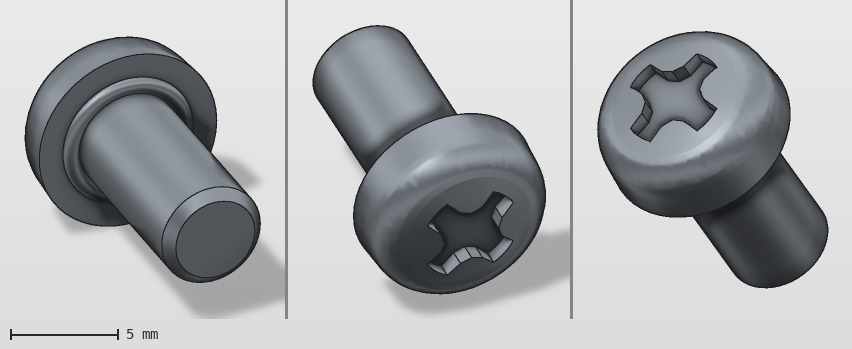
import cadquery as cq
import math


shank_length = 10.0
shank_radius = 2.5
tip_chamfer = 0.5

head_height = 3.5
head_radius = 4.5
head_top_radius = 4.24
dome_radius = 13.0
dome_fillet = 1.63

ring_section_radius = 0.4
ring_center_radius = shank_radius + ring_section_radius
ring_outer_radius = ring_center_radius + ring_section_radius

recess_floor_x = -2.55
recess_radius = 2.45
recess_arm_width = 1.4
recess_arm_start = 1.48
recess_corner_radius = 1.35
recess_arm_angles = (45, 135, 225, 315)
half_arm_spacing = 180 / len(recess_arm_angles)

AXIS_START = (0, 0)
AXIS_END = (1, 0)


def make_screw_blank():
    """Revolve the tapered head, the half-round ring groove and the chamfered shank about X."""
    return (
        cq.Workplane("XY")
        .moveTo(-head_height, 0)
        .lineTo(-head_height, head_top_radius)
        .lineTo(0, head_radius)
        .lineTo(0, ring_outer_radius)
        .threePointArc((-ring_section_radius, ring_center_radius), (0, shank_radius))
        .lineTo(shank_length - tip_chamfer, shank_radius)
        .lineTo(shank_length, shank_radius - tip_chamfer)
        .lineTo(shank_length, 0)
        .close()
        .revolve(360, AXIS_START, AXIS_END)
    )


def round_head(blank):
    """Trim the head top to a shallow sphere and round the edge between dome and flank."""
    dome = cq.Workplane("XY").sphere(dome_radius).translate((dome_radius - head_height, 0, 0))
    domed = blank.intersect(dome)
    rim = domed.edges("%CIRCLE").edges("<X")
    return rim.fillet(dome_fillet)


def arm_point(along, across, angle):
    """Turn a point given along and across a recess arm at the angle into a point in the YZ plane."""
    cosine = math.cos(math.radians(angle))
    sine = math.sin(math.radians(angle))
    return (along * cosine - across * sine, along * sine + across * cosine)


def make_recess_cutter():
    """Four straight arms with ends on a common circle, joined by blunt V-shaped inner corners."""
    half_width = recess_arm_width / 2
    arm_end = math.sqrt(recess_radius**2 - half_width**2)
    depth = head_height + recess_floor_x

    outline = cq.Workplane("YZ", origin=(recess_floor_x, 0, 0)).moveTo(recess_corner_radius, 0)
    for angle in recess_arm_angles:
        outline = (
            outline.lineTo(*arm_point(recess_arm_start, -half_width, angle))
            .lineTo(*arm_point(arm_end, -half_width, angle))
            .threePointArc(
                arm_point(recess_radius, 0, angle),
                arm_point(arm_end, half_width, angle),
            )
            .lineTo(*arm_point(recess_arm_start, half_width, angle))
        )
        if angle != recess_arm_angles[-1]:
            outline = outline.lineTo(*arm_point(recess_corner_radius, 0, angle + half_arm_spacing))
    return outline.close().extrude(-depth)


def make_screw():
    """Headed, domed screw with its cross recess cut out."""
    return round_head(make_screw_blank()).cut(make_recess_cutter())


def make_sealing_ring():
    """Round-section ring centred on the plane of the head underside."""
    return (
        cq.Workplane("XY")
        .moveTo(0, ring_center_radius)
        .circle(ring_section_radius)
        .revolve(360, AXIS_START, AXIS_END)
    )


screw = make_screw()
sealing_ring = make_sealing_ring()

result = cq.Compound.makeCompound([screw.val(), sealing_ring.val()])